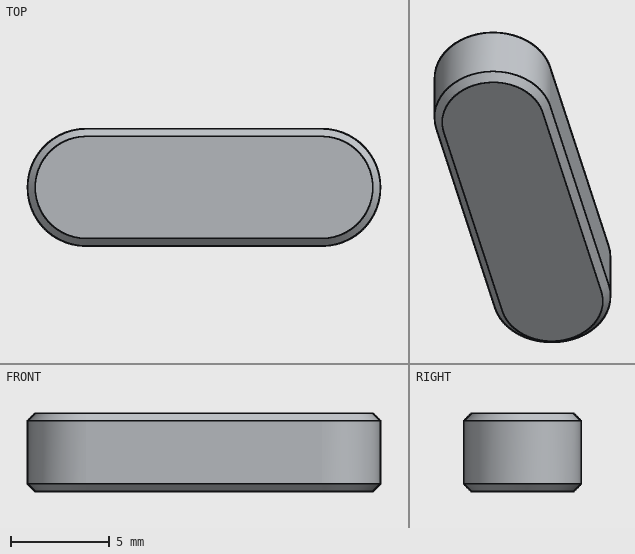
import cadquery as cq

length = 18.0
width = 6.0
height = 4.0
edge_chamfer = 0.4

body = cq.Workplane("XY").slot2D(length, width).extrude(height / 2, both=True)

result = body.faces("|Z").edges().chamfer(edge_chamfer)